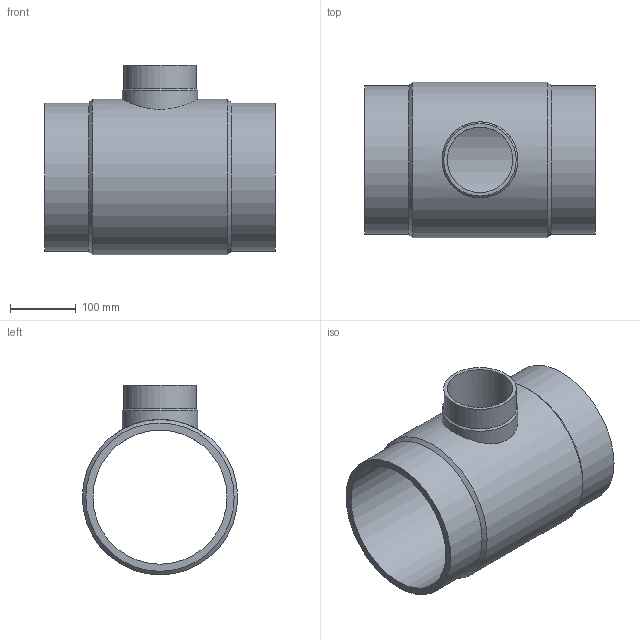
import cadquery as cq

pipe_length = 350.0
pipe_diameter = 225.0
pipe_bore = 203.4

sleeve_diameter = 235.8
sleeve_length = 216.0
sleeve_chamfer = (sleeve_diameter - pipe_diameter) / 2

branch_height = 170.0
branch_diameter = 110.0
branch_bore = 99.4

collar_diameter = 115.3
collar_height = 134.0
collar_chamfer = (collar_diameter - branch_diameter) / 2


def cylinder_along_x(diameter, length):
    """Cylinder on the X axis, centred on the origin."""
    start = cq.Workplane("YZ").workplane(offset=-length / 2)
    return start.circle(diameter / 2).extrude(length)


def cylinder_up(diameter, height):
    """Cylinder rising along Z from the main pipe axis."""
    return cq.Workplane("XY").circle(diameter / 2).extrude(height)


def main_run():
    """Solid main pipe with its sleeve, chamfered down to the pipe at both ends."""
    pipe = cylinder_along_x(pipe_diameter, pipe_length)
    sleeve = cylinder_along_x(sleeve_diameter, sleeve_length)
    sleeve = sleeve.faces("<X or >X").chamfer(sleeve_chamfer)
    return pipe.union(sleeve)


def branch():
    """Solid branch pipe with its collar, chamfered down to the pipe at the top."""
    pipe = cylinder_up(branch_diameter, branch_height)
    collar = cylinder_up(collar_diameter, collar_height)
    collar = collar.faces(">Z").chamfer(collar_chamfer)
    return pipe.union(collar)


tee = main_run().union(branch())

tee = tee.cut(cylinder_along_x(pipe_bore, pipe_length))
result = tee.cut(cylinder_up(branch_bore, branch_height))